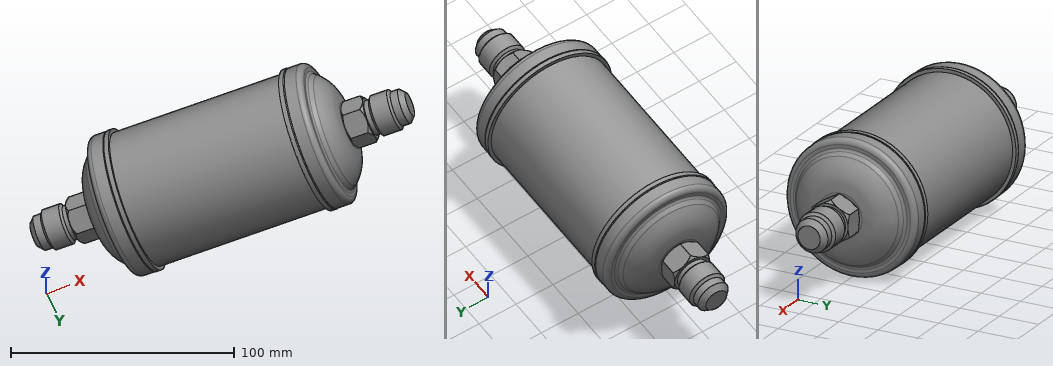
import cadquery as cq
import math

length = 182.0

tip_radius = 5.6
neck_radius = 16.4 / 2
collar_radius = 19.1 / 2
tip_taper_end = 2.5
collar_start = 6.2
collar_end = 16.7
collar_chamfer = 1.1

hex_across_flats = 19.1
hex_corner_radius = hex_across_flats / math.sqrt(3)
hex_start = 19.0
hex_end = 29.5
hex_end_radius = hex_across_flats / 2
hex_outer_chamfer = 1.5
hex_inner_chamfer = 1.0

dome_start_radius = 11.0
dome_middle = (31.7, 20.5)
dome_end = (35.9, 26.0)
dome_cone_end = (37.9, 27.5)
cap_face = 38.5
cap_face_inner_radius = 29.0
cap_radius = 66.6 / 2
cap_edge_radius = 2.7

lip_start = 47.0
lip_taper = 0.5
lip_end = 49.7
lip_radius = 67.0 / 2
tube_radius = 63.5 / 2


def revolve_about_x(profile):
    return profile.close().revolve(360, (0, 0, 0), (1, 0, 0))


def make_turned_half():
    """Revolve everything but the hexagon, from the left tip to mid-length."""
    edge_offset = cap_edge_radius * (1 - math.sqrt(0.5))
    profile = (
        cq.Workplane("XY")
        .lineTo(0, tip_radius)
        .lineTo(tip_taper_end, neck_radius)
        .lineTo(collar_start, neck_radius)
        .lineTo(collar_start + collar_chamfer, collar_radius)
        .lineTo(collar_end - collar_chamfer, collar_radius)
        .lineTo(collar_end, neck_radius)
        .lineTo(hex_end, neck_radius)
        .lineTo(hex_end, dome_start_radius)
        .threePointArc(dome_middle, dome_end)
        .lineTo(*dome_cone_end)
        .tangentArcPoint((cap_face, cap_face_inner_radius), relative=False)
        .lineTo(cap_face, cap_radius - cap_edge_radius)
        .threePointArc(
            (cap_face + edge_offset, cap_radius - edge_offset),
            (cap_face + cap_edge_radius, cap_radius),
        )
        .lineTo(lip_start, cap_radius)
        .lineTo(lip_start + lip_taper, lip_radius)
        .lineTo(lip_end, lip_radius)
        .lineTo(lip_end, tube_radius)
        .lineTo(length / 2, tube_radius)
        .lineTo(length / 2, 0)
    )
    return revolve_about_x(profile)


def make_hexagon():
    """Hexagonal prism with corners up and down and conically chamfered ends."""
    corners = [
        (hex_corner_radius * math.sin(i * math.pi / 3), hex_corner_radius * math.cos(i * math.pi / 3))
        for i in range(6)
    ]
    prism = (
        cq.Workplane("YZ", origin=(hex_start, 0, 0))
        .polyline(corners)
        .close()
        .extrude(hex_end - hex_start)
    )
    chamfer_envelope = revolve_about_x(
        cq.Workplane("XY")
        .moveTo(hex_start, 0)
        .lineTo(hex_start, hex_end_radius)
        .lineTo(hex_start + hex_outer_chamfer, hex_corner_radius)
        .lineTo(hex_end - hex_inner_chamfer, hex_corner_radius)
        .lineTo(hex_end, hex_end_radius)
        .lineTo(hex_end, 0)
    )
    return prism.intersect(chamfer_envelope)


left_half = make_turned_half().union(make_hexagon())
right_half = left_half.mirror("YZ", (length / 2, 0, 0))
result = left_half.union(right_half).translate((-length / 2, 0, 0))